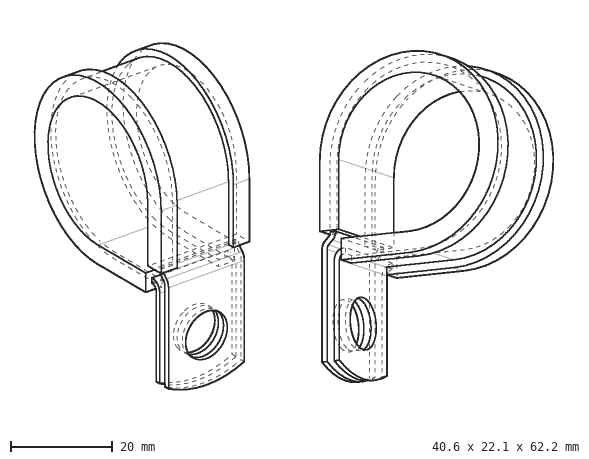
import cadquery as cq
import math

outer_radius = 20.15
inner_radius = 15.85
cushion_width = 22.1
groove_width = 14.05
upright_leg_drop = 14.0
level_leg_reach = 15.25

strap_thickness = 1.2
strap_outer_radius = 18.6
strap_inner_radius = strap_outer_radius - strap_thickness
strap_middle_radius = strap_outer_radius - strap_thickness / 2
strap_width = 18.95

overall_length = 40.65
overall_height = 62.2
tab_gap = 1.6
tab_bottom = outer_radius - overall_height
right_tab_outer = overall_length - outer_radius
left_tab_outer = right_tab_outer - strap_thickness - tab_gap
tab_end_radius = 21.75
hole_diameter = 10.4
hole_height = 11.05

bend_inner_radius = strap_thickness
bend_outer_radius = bend_inner_radius + strap_thickness
joggle_angle = math.radians(45)


def extrude_centred(profile, width):
    """Extrude an XZ profile equally to both sides of the loop's mid-plane."""
    return profile.extrude(width / 2, both=True)


def loop_outline(radius):
    """Closed outline of a three-quarter circle with tangent legs meeting in a corner."""
    diagonal = radius / math.sqrt(2)
    return (
        cq.Workplane("XZ")
        .moveTo(radius, 0)
        .threePointArc((-diagonal, diagonal), (0, -radius))
        .lineTo(radius, -radius)
        .close()
    )


def loop_band(radius, width):
    """Solid band from the bore to the given radius, open at the lower right corner."""
    band = extrude_centred(loop_outline(radius), width)
    bore = extrude_centred(loop_outline(inner_radius), width)
    opening = (
        cq.Workplane("XZ")
        .moveTo(level_leg_reach, -upright_leg_drop)
        .lineTo(outer_radius, -upright_leg_drop)
        .lineTo(outer_radius, -outer_radius)
        .lineTo(level_leg_reach, -outer_radius)
        .close()
    )
    return band.cut(bore).cut(extrude_centred(opening, width))


def make_cushion():
    """Cushion with raised rims on both sides of the strap groove."""
    rim_width = (cushion_width - groove_width) / 2
    rim_offset = (groove_width + rim_width) / 2
    cushion = loop_band(strap_outer_radius, cushion_width)
    for side in (-1, 1):
        rim = loop_band(outer_radius, rim_width).translate((0, side * rim_offset, 0))
        cushion = cushion.union(rim)
    return cushion


def make_left_tab():
    """Strap leaving the level leg and turning down through an elbow."""
    bend_x = left_tab_outer - bend_outer_radius
    bend_z = -strap_inner_radius - bend_outer_radius
    cos45 = math.sqrt(0.5)
    profile = (
        cq.Workplane("XZ")
        .moveTo(level_leg_reach - strap_thickness, -strap_inner_radius)
        .lineTo(bend_x, -strap_inner_radius)
        .threePointArc(
            (bend_x + bend_outer_radius * cos45, bend_z + bend_outer_radius * cos45),
            (left_tab_outer, bend_z),
        )
        .lineTo(left_tab_outer, tab_bottom)
        .lineTo(left_tab_outer - strap_thickness, tab_bottom)
        .lineTo(left_tab_outer - strap_thickness, bend_z)
        .threePointArc(
            (bend_x + bend_inner_radius * cos45, bend_z + bend_inner_radius * cos45),
            (bend_x, -strap_outer_radius),
        )
        .lineTo(level_leg_reach - strap_thickness, -strap_outer_radius)
        .close()
    )
    return extrude_centred(profile, strap_width)


def make_right_tab():
    """Strap leaving the upright leg and stepping outward through an angled joggle."""
    shift = right_tab_outer - strap_outer_radius
    middle_radius = (bend_inner_radius + bend_outer_radius) / 2
    straight_shift = shift - 2 * middle_radius * (1 - math.cos(joggle_angle))
    straight_height = straight_shift / math.tan(joggle_angle)
    joggle_height = 2 * middle_radius * math.sin(joggle_angle) + straight_height
    joggle_top = -upright_leg_drop
    joggle_bottom = joggle_top - joggle_height
    upper_x = strap_middle_radius + middle_radius
    lower_x = right_tab_outer - strap_thickness / 2 - middle_radius

    def upper_bend(radius, angle):
        return upper_x - radius * math.cos(angle), joggle_top - radius * math.sin(angle)

    def lower_bend(radius, angle):
        return lower_x + radius * math.cos(angle), joggle_bottom + radius * math.sin(angle)

    profile = (
        cq.Workplane("XZ")
        .moveTo(strap_outer_radius, joggle_top + strap_thickness)
        .lineTo(strap_outer_radius, joggle_top)
        .threePointArc(
            upper_bend(bend_inner_radius, joggle_angle / 2),
            upper_bend(bend_inner_radius, joggle_angle),
        )
        .lineTo(*lower_bend(bend_outer_radius, joggle_angle))
        .threePointArc(
            lower_bend(bend_outer_radius, joggle_angle / 2),
            lower_bend(bend_outer_radius, 0),
        )
        .lineTo(right_tab_outer, tab_bottom)
        .lineTo(right_tab_outer - strap_thickness, tab_bottom)
        .lineTo(*lower_bend(bend_inner_radius, 0))
        .threePointArc(
            lower_bend(bend_inner_radius, joggle_angle / 2),
            lower_bend(bend_inner_radius, joggle_angle),
        )
        .lineTo(*upper_bend(bend_outer_radius, joggle_angle))
        .threePointArc(
            upper_bend(bend_outer_radius, joggle_angle / 2),
            upper_bend(bend_outer_radius, 0),
        )
        .lineTo(strap_inner_radius, joggle_top + strap_thickness)
        .close()
    )
    return extrude_centred(profile, strap_width)


def make_tab_trim():
    """Rounded tab end and bolt hole, as a face outline extruded through both tabs."""
    half_width = strap_width / 2
    end_rise = tab_end_radius - math.sqrt(tab_end_radius**2 - half_width**2)
    return (
        cq.Workplane("YZ")
        .moveTo(-half_width, 0)
        .lineTo(-half_width, tab_bottom + end_rise)
        .threePointArc((0, tab_bottom), (half_width, tab_bottom + end_rise))
        .lineTo(half_width, 0)
        .close()
        .extrude(overall_length)
        .cut(
            cq.Workplane("YZ")
            .center(0, tab_bottom + hole_height)
            .circle(hole_diameter / 2)
            .extrude(overall_length)
        )
    )


tabs = make_left_tab().union(make_right_tab()).intersect(make_tab_trim())
result = make_cushion().union(tabs)